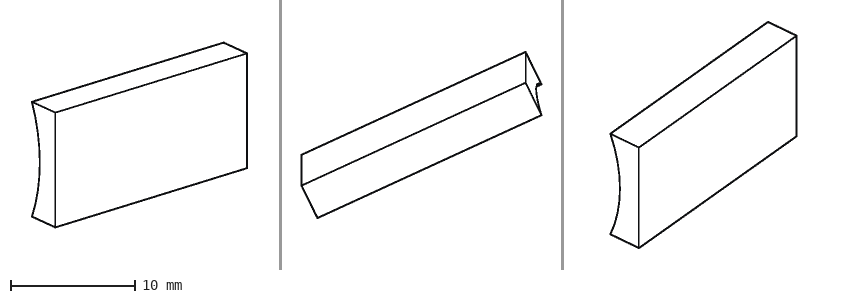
import cadquery as cq

thickness = 3.0
length = 20.0
height = 10.0

hollow_depth = 1.0

section = (
    cq.Workplane("XZ")
    .moveTo(0, -height / 2)
    .lineTo(thickness, -height / 2)
    .lineTo(thickness, height / 2)
    .lineTo(0, height / 2)
    .threePointArc((hollow_depth, 0), (0, -height / 2))
    .close()
)

result = section.extrude(length / 2, both=True)